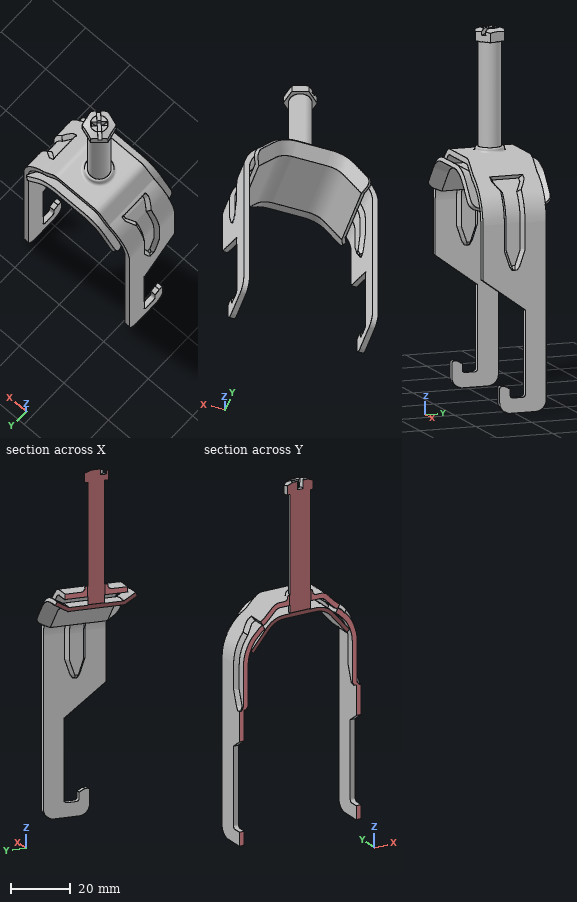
import cadquery as cq
import math

overall_height = 127.6
clamp_span = 47.6
clamp_width = 22.7
sheet = 2.0
crown_z = 85.1
shoulder_angle = 45.0
shoulder_corner_x = 9.7
shoulder_bend_radius = 4.2
haunch_radius = 17.5
haunch_z = 64.8
valley_radius = 1.3

half_width = clamp_width / 2
shank_y = 3.8
taper_top_z = 46.0
taper_bottom_z = 35.0
hook_y = -5.4
hook_inner_y = -1.5
hook_floor_z = 5.2
hook_tip_z = 9.5
hook_lip_z = 8.4
hook_tip_run = 2.0
foot_radius = 3.8
throat_radius = 1.0
tip_radius = 0.6

rib_depth = 1.5
rib_half_width = 3.7
rib_flare_half_width = 5.9
rib_end_angle = 58.0
rib_flare_angle = 52.0
rib_neck_angle = 38.0
rib_taper_z = 55.6
rib_point_z = 50.1
rib_point_half_width = 1.8
rib_tip_z = 48.9
rib_tip_half_width = 0.9
rib_tip_depth = 0.8
rib_wall_run = 1.1
rib_overlap = 0.3

shank_diameter = 8.0
collar_diameter = 10.0
collar_height = 1.9
collar_base_radius = 1.1
collar_top_radius = 0.6

head_flats = 10.0
head_height = 4.3
head_turn = 42.0
head_flat_diameter = 6.0
head_cone_angle = 22.0
slot_width = 1.4
slot_depth = 2.0
slot_turn = -45.0
cross_depth = 3.0
cross_top_length = 5.4
cross_floor_length = 3.0

saddle_sheet = 1.5
saddle_base_z = 78.7
saddle_width = 30.0
saddle_flat_half_width = 10.3
rim_angle = 30.0
saddle_flat_half_length = 6.1
saddle_bend_radius = 7.7
saddle_arm_angle = 50.0
saddle_arm_length = 9.6
saddle_corner_radius = 2.5


def bend_corner_shift(angle, inset):
    """Sideways shift of a bend's corner when both its planes move inward by inset."""
    return inset * math.tan(math.radians(angle / 2))


def valley_point(inset):
    """Meeting point of shoulder plane and haunch, both moved inward by inset."""
    centre_x = clamp_span / 2 - haunch_radius
    radius = haunch_radius - inset
    plane_sum = shoulder_corner_x + crown_z - inset * math.sqrt(2)
    rise = plane_sum - centre_x - haunch_z
    run = (rise - math.sqrt(2 * radius**2 - rise**2)) / 2
    return centre_x + run, haunch_z + rise - run


def arch_solid(inset):
    """Filled arch lying inset below the outer face of the clamp."""
    leg_x = clamp_span / 2 - inset
    top_z = crown_z - inset
    bend_radius = shoulder_bend_radius - inset
    corner_x = shoulder_corner_x - bend_corner_shift(shoulder_angle, inset)
    turn = math.radians(shoulder_angle)
    flat_x = corner_x - bend_radius * math.tan(turn / 2)

    def on_bend(angle):
        return flat_x + bend_radius * math.sin(angle), top_z - bend_radius * (1 - math.cos(angle))

    centre_x = clamp_span / 2 - haunch_radius
    radius = haunch_radius - inset
    valley_x, valley_z = valley_point(inset)
    half_sweep = math.atan2(valley_z - haunch_z, valley_x - centre_x) / 2
    haunch_middle = (centre_x + radius * math.cos(half_sweep), haunch_z + radius * math.sin(half_sweep))
    half = (
        cq.Workplane("XZ")
        .moveTo(0, top_z)
        .lineTo(flat_x, top_z)
        .threePointArc(on_bend(turn / 2), on_bend(turn))
        .lineTo(valley_x, valley_z)
        .threePointArc(haunch_middle, (leg_x, haunch_z))
        .lineTo(leg_x, 0)
        .lineTo(0, 0)
        .close()
        .extrude(half_width, both=True)
    )
    return half.union(half.mirror("YZ"))


def leg_outline():
    """Clamp outline across the strap, extruded through both legs."""
    prism = (
        cq.Workplane("YZ")
        .polyline([
            (half_width, 0),
            (half_width, crown_z),
            (-half_width, crown_z),
            (-half_width, taper_top_z),
            (shank_y, taper_bottom_z),
            (shank_y, hook_floor_z),
            (hook_inner_y, hook_floor_z),
            (hook_inner_y, hook_lip_z),
            (hook_inner_y - hook_tip_run, hook_tip_z),
            (hook_y, hook_tip_z),
            (hook_y, 0),
        ])
        .close()
        .extrude(clamp_span, both=True)
    )
    rounded_corners = [
        (half_width, 0, foot_radius),
        (hook_y, 0, foot_radius),
        (shank_y, hook_floor_z, throat_radius),
        (hook_inner_y, hook_floor_z, throat_radius),
        (hook_y, hook_tip_z, tip_radius),
    ]
    for y, z, radius in rounded_corners:
        prism = prism.edges(cq.NearestToPointSelector((0, y, z))).fillet(radius)
    return prism


def rib_section(inset, angle, base_z, rib_y, depth):
    """Trapezoid across the rib, on the haunch at angle or, for angle 0, on the leg at base_z."""
    radius = haunch_radius - inset
    wall_slope = rib_wall_run / rib_depth
    outer = radius + rib_overlap
    outer_y = rib_y + rib_overlap * wall_slope
    inner = radius - depth
    inner_y = rib_y - depth * wall_slope
    turn = math.radians(angle)
    centre_x = clamp_span / 2 - haunch_radius
    corners = [(outer, -outer_y), (outer, outer_y), (inner, inner_y), (inner, -inner_y)]
    points = [
        cq.Vector(centre_x + reach * math.cos(turn), y, base_z + reach * math.sin(turn))
        for reach, y in corners
    ]
    return cq.Wire.makePolygon(points, close=True)


def rib_layer(inset):
    """Solid form of the +X rib, pressed rib_depth below the surface at inset."""
    end = rib_section(inset, rib_end_angle, haunch_z, rib_flare_half_width, rib_depth)
    flare = rib_section(inset, rib_flare_angle, haunch_z, rib_flare_half_width, rib_depth)
    neck = rib_section(inset, rib_neck_angle, haunch_z, rib_half_width, rib_depth)
    spring = rib_section(inset, 0, haunch_z, rib_half_width, rib_depth)
    taper = rib_section(inset, 0, rib_taper_z, rib_half_width, rib_depth)
    point = rib_section(inset, 0, rib_point_z, rib_point_half_width, rib_depth)
    tip = rib_section(inset, 0, rib_tip_z, rib_tip_half_width, rib_tip_depth)

    stretches = [(end, flare), (flare, neck), (spring, taper), (taper, point), (point, tip)]
    centre_x = clamp_span / 2 - haunch_radius
    axis_start = cq.Vector(centre_x, 0, haunch_z)
    axis_end = cq.Vector(centre_x, -1.3, haunch_z)
    rib = cq.Workplane(cq.Solid.revolve(spring, [], rib_neck_angle, axis_start, axis_end))
    for first, second in stretches:
        rib = rib.union(cq.Workplane(cq.Solid.makeLoft([first, second], True)))
    return rib


def make_clamp():
    clamp = arch_solid(0)
    valley_x, valley_z = valley_point(0)
    for x in (-valley_x, valley_x):
        clamp = clamp.edges(cq.NearestToPointSelector((x, 0, valley_z))).fillet(valley_radius)
    clamp = clamp.cut(arch_solid(sheet)).intersect(leg_outline())

    groove = rib_layer(0)
    ridge = rib_layer(sheet)
    clamp = clamp.union(ridge).union(ridge.mirror("YZ"))
    clamp = clamp.cut(groove).cut(groove.mirror("YZ"))

    collar = cq.Workplane("XY", origin=(0, 0, crown_z)).circle(collar_diameter / 2).extrude(collar_height)
    clamp = clamp.union(collar.faces(">Z").edges().fillet(collar_top_radius))
    collar_foot = cq.NearestToPointSelector((0, 0, crown_z))
    clamp = clamp.edges("%CIRCLE").edges(collar_foot).fillet(collar_base_radius)
    hole = cq.Workplane("XY").circle(shank_diameter / 2).extrude(overall_height)
    return clamp.cut(hole)


def make_bolt():
    head_z = overall_height - head_height
    shank_z = saddle_base_z + saddle_sheet
    head_corners = head_flats / math.cos(math.pi / 6)
    head = (
        cq.Workplane("XY", origin=(0, 0, head_z))
        .polygon(6, head_corners)
        .extrude(head_height)
        .rotate((0, 0, 0), (0, 0, 1), head_turn)
    )

    rim = head_corners / 2
    cone_drop = (rim - head_flat_diameter / 2) * math.tan(math.radians(head_cone_angle))
    cone_envelope = (
        cq.Workplane("XZ")
        .polyline([
            (0, head_z),
            (rim, head_z),
            (rim, overall_height - cone_drop),
            (head_flat_diameter / 2, overall_height),
            (0, overall_height),
        ])
        .close()
        .revolve(360, (0, 0, 0), (0, 1, 0))
    )
    shank = cq.Workplane("XY", origin=(0, 0, shank_z)).circle(shank_diameter / 2).extrude(head_z - shank_z)
    bolt = head.intersect(cone_envelope).union(shank)

    slot_floor = cq.Workplane("XY", origin=(0, 0, overall_height - slot_depth))
    slot = slot_floor.rect(head_corners, slot_width).extrude(slot_depth)
    bolt = bolt.cut(slot.rotate((0, 0, 0), (0, 0, 1), slot_turn))
    for turn in (slot_turn, slot_turn + 90):
        arm = (
            cq.Workplane("XZ")
            .polyline([
                (-cross_top_length / 2, overall_height),
                (cross_top_length / 2, overall_height),
                (cross_floor_length / 2, overall_height - cross_depth),
                (-cross_floor_length / 2, overall_height - cross_depth),
            ])
            .close()
            .extrude(slot_width / 2, both=True)
        )
        bolt = bolt.cut(arm.rotate((0, 0, 0), (0, 0, 1), turn))
    return bolt


def make_saddle():
    tilt = math.radians(rim_angle)
    rim_y = saddle_width / 2
    rim_z = saddle_base_z + (rim_y - saddle_flat_half_width) * math.tan(tilt)
    flat_top_y = saddle_flat_half_width - bend_corner_shift(rim_angle, saddle_sheet)
    side = [
        (saddle_flat_half_width, saddle_base_z),
        (rim_y, rim_z),
        (rim_y - saddle_sheet * math.sin(tilt), rim_z + saddle_sheet * math.cos(tilt)),
        (flat_top_y, saddle_base_z + saddle_sheet),
    ]
    other_side = [(-y, z) for y, z in reversed(side)]

    arm_turn = math.radians(saddle_arm_angle)

    def on_bend(angle):
        x = saddle_flat_half_length + saddle_bend_radius * math.sin(angle)
        return x, saddle_base_z - saddle_bend_radius * (1 - math.cos(angle))

    bend_x, bend_z = on_bend(arm_turn)
    end_x = bend_x + saddle_arm_length * math.cos(arm_turn)
    end_z = bend_z - saddle_arm_length * math.sin(arm_turn)
    path = (
        cq.Workplane("XZ")
        .moveTo(0, saddle_base_z)
        .lineTo(saddle_flat_half_length, saddle_base_z)
        .threePointArc(on_bend(arm_turn / 2), (bend_x, bend_z))
        .lineTo(end_x, end_z)
    )
    half = cq.Workplane("YZ").polyline(side + other_side).close().sweep(path)
    for y in (-rim_y, rim_y):
        lift = rim_z - saddle_base_z
        corner = (end_x + lift * math.sin(arm_turn), y, end_z + lift * math.cos(arm_turn))
        half = half.edges(cq.NearestToPointSelector(corner)).fillet(saddle_corner_radius)
    return half.union(half.mirror("YZ"))


clamp = make_clamp()
bolt = make_bolt()
saddle = make_saddle()

bodies = [clamp, bolt, saddle]
result = cq.Compound.makeCompound([body.solids().val() for body in bodies])